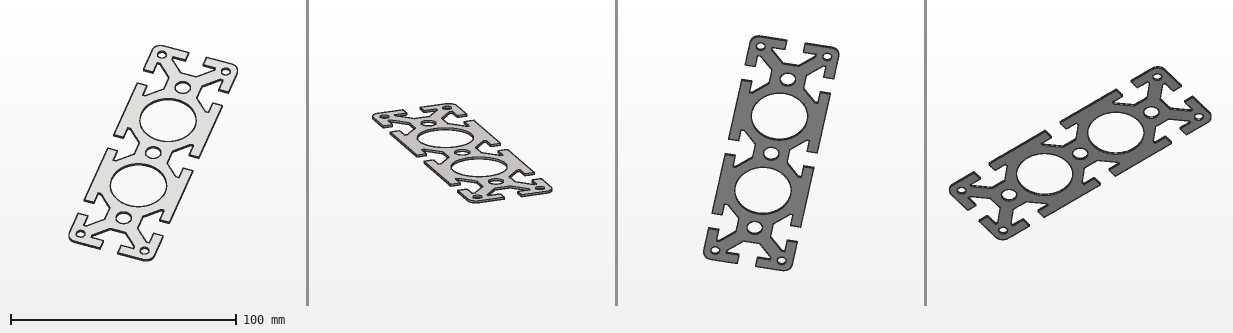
import cadquery as cq

length = 120.0
cell_count = 3
cell = length / cell_count
thickness = cell / 40

corner_radius = 4.0
corner_hole_diameter = 4.0
corner_hole_inset = cell / 8
core_hole_diameter = 6.8
window_diameter = 25.0

slot_opening = 8.3
slot_inner_width = 19.9
slot_floor_width = 7.2
lip_depth = 4.5
slot_depth = 12.2
flank_depth = slot_depth - (slot_inner_width - slot_floor_width) / 2

cell_centers = [(0, (i - (cell_count - 1) / 2) * cell) for i in range(cell_count)]
window_centers = [(0, (i - (cell_count - 2) / 2) * cell) for i in range(cell_count - 1)]


def t_slot(center, angle):
    """Cutter for a T-slot in one cell side; angle 0 opens toward +X."""
    edge = cell / 2
    upper_half = [
        (edge, slot_opening / 2),
        (edge - lip_depth, slot_opening / 2),
        (edge - lip_depth, slot_inner_width / 2),
        (edge - flank_depth, slot_inner_width / 2),
        (edge - slot_depth, slot_floor_width / 2),
    ]
    lower_half = [(x, -y) for x, y in reversed(upper_half)]
    cutter = cq.Workplane("XY").polyline(upper_half + lower_half).close().extrude(thickness)
    return cutter.rotate((0, 0, 0), (0, 0, 1), angle).translate((*center, 0))


result = (
    cq.Workplane("XY")
    .rect(cell, length)
    .extrude(thickness)
    .edges("|Z")
    .fillet(corner_radius)
)

for cell_center in cell_centers:
    for side_angle in (0, 180):
        result = result.cut(t_slot(cell_center, side_angle))
result = result.cut(t_slot(cell_centers[-1], 90))
result = result.cut(t_slot(cell_centers[0], -90))

holes = cq.Workplane("XY").pushPoints(cell_centers).circle(core_hole_diameter / 2).extrude(thickness)
windows = cq.Workplane("XY").pushPoints(window_centers).circle(window_diameter / 2).extrude(thickness)
corner_holes = (
    cq.Workplane("XY")
    .rect(cell - 2 * corner_hole_inset, length - 2 * corner_hole_inset, forConstruction=True)
    .vertices()
    .circle(corner_hole_diameter / 2)
    .extrude(thickness)
)
result = result.cut(holes).cut(windows).cut(corner_holes)